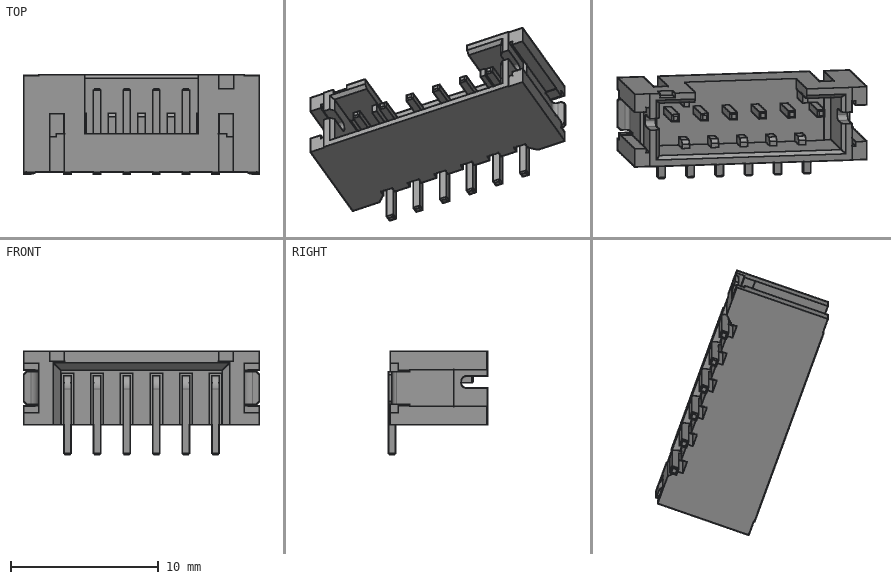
import cadquery as cq


LENGTH = 15.95
HEIGHT = 5.0
DEPTH = 6.6
CORE_HALF = 6.95
WING_SETBACK = 0.06
SKIN = 0.7
MOUTH_CHAMFER = 0.25

CAVITY_HALF = 6.25
CAVITY_FLOOR = 2.6
CORNER_HALF = 5.75
CORNER_STEP = 0.2

NOTCH_HALF = 3.83
SLOT_CENTRE = 5.7
SLOT_WIDTH = 0.98
SLOT_END = 3.95
MARK_DEPTH = 0.3
MARK_LENGTH = 0.97
MARK_INNER = 5.22
MARK_WIDTH = 1.02

SIDE_SLOT_BOTTOM = 2.51
SIDE_SLOT_TOP = 3.3
SIDE_SLOT_END = 4.81
SIDE_SLOT_RADIUS = 0.35

RIB_WIDTH = 0.5
RIB_HEIGHT = 0.55
RIB_END = 4.0
RIB_SPACING = 2.0
RIB_COUNT = 5
TOP_RIB_INNER = 3.9
TOP_RIB_END = 4.67
TOP_RIB_HEIGHT = 0.62

RECESS_HALF = 5.95
RECESS_TOP = 4.19
RECESS_DEPTH = 0.49

PIN_COUNT = 6
PIN_PITCH = 2.0
PIN_SIZE = 0.5
OVERALL_DEPTH = 6.72
PIN_REAR = DEPTH - OVERALL_DEPTH
PIN_TOP = 3.34
PIN_FRONT = 5.63
PIN_BOTTOM = -2.0
PIN_BEND = 0.9
PIN_CHAMFER = 0.1
GROOVE_WIDTH = 0.84
GROOVE_TOP = 3.5
GROOVE_FLOOR = 0.9

MID_HEIGHT = HEIGHT / 2
CHANNEL_HEIGHT = 2.5
NECK_HEIGHT = 2.4
NECK_LENGTH = 1.32
RELIEF_HEIGHT = 3.36
RELIEF_LENGTH = 0.55
PLATE_THICKNESS = 0.25
PLATE_HEIGHT = 2.2
PLATE_FRONT = 4.3
GUIDE_DEPTH = 0.3
PLATE_BEND = 0.55
TAB_CHAMFER = 0.2


def block(x0, x1, y0, y1, z0, z1):
    """Axis-aligned box between two corners."""
    return cq.Workplane("XY").box(x1 - x0, y1 - y0, z1 - z0, centered=False).translate((x0, y0, z0))


def wide_block(half_length, y0, y1, z0, z1):
    """Box centred on X = 0."""
    return block(-half_length, half_length, y0, y1, z0, z1)


def both_ends(shape):
    """The +X shape together with its mirror image at -X."""
    return shape.union(shape.mirror("YZ"))


def spaced(count, spacing):
    """Evenly spaced positions centred on zero."""
    return [(i - (count - 1) / 2) * spacing for i in range(count)]


def tapered_pocket(half_length, y, z0, z1, depth):
    """Cutter whose walls close in at 45 degrees from plane y to plane y + depth."""
    inset = abs(depth)

    def outline(shrink):
        return [
            (-half_length + shrink, z0 + shrink),
            (half_length - shrink, z0 + shrink),
            (half_length - shrink, z1 - shrink),
            (-half_length + shrink, z1 - shrink),
        ]

    return (
        cq.Workplane("XZ", origin=(0, y, 0))
        .polyline(outline(0)).close()
        .workplane(offset=-depth)
        .polyline(outline(inset)).close()
        .loft(ruled=True)
    )


def shell():
    half = LENGTH / 2
    body = wide_block(CORE_HALF, 0, DEPTH, 0, HEIGHT)
    return body.union(wide_block(half, 0, DEPTH - WING_SETBACK, 0, HEIGHT))


def cavity():
    bottom = SKIN
    top = HEIGHT - SKIN
    pocket = wide_block(CAVITY_HALF, CAVITY_FLOOR, DEPTH, bottom, top)
    corner = block(CORNER_HALF, CAVITY_HALF, CAVITY_FLOOR - CORNER_STEP, CAVITY_FLOOR, bottom, top)
    mouth = tapered_pocket(
        CAVITY_HALF + MOUTH_CHAMFER, DEPTH, bottom - MOUTH_CHAMFER, top + MOUTH_CHAMFER, -MOUTH_CHAMFER
    )
    return pocket.union(both_ends(corner)).union(mouth)


def bottom_ribs():
    ribs = cq.Workplane("XY")
    top = SKIN + RIB_HEIGHT
    for x in spaced(RIB_COUNT, RIB_SPACING):
        rib = block(x - RIB_WIDTH / 2, x + RIB_WIDTH / 2, CAVITY_FLOOR, RIB_END, SKIN, top)
        rib = rib.faces(">Y").edges(">Z").chamfer(MOUTH_CHAMFER)
        ribs = ribs.union(rib)
    return ribs


def top_ribs():
    outer_rib_x = spaced(RIB_COUNT, RIB_SPACING)[-1]
    ceiling = HEIGHT - SKIN
    rib = block(
        TOP_RIB_INNER, outer_rib_x + RIB_WIDTH / 2,
        CAVITY_FLOOR, TOP_RIB_END,
        ceiling - TOP_RIB_HEIGHT, ceiling,
    )
    return both_ends(rib)


def top_openings():
    floor = HEIGHT - SKIN
    notch = wide_block(NOTCH_HALF, CAVITY_FLOOR, DEPTH, MID_HEIGHT, HEIGHT)
    slot = block(SLOT_CENTRE - SLOT_WIDTH / 2, SLOT_CENTRE + SLOT_WIDTH / 2, 0, SLOT_END, floor, HEIGHT)
    mark = block(
        MARK_INNER, MARK_INNER + MARK_WIDTH, DEPTH - MARK_LENGTH, DEPTH, HEIGHT - MARK_DEPTH, HEIGHT
    )
    return notch.union(both_ends(slot)).union(mark)


def side_slots():
    slot = wide_block(LENGTH / 2, SIDE_SLOT_END, DEPTH, SIDE_SLOT_BOTTOM, SIDE_SLOT_TOP)
    return slot.faces("<Y").edges("|X").fillet(SIDE_SLOT_RADIUS)


def rear_recess():
    recess = tapered_pocket(RECESS_HALF, 0, -RECESS_TOP, RECESS_TOP, RECESS_DEPTH)
    for x in spaced(PIN_COUNT, PIN_PITCH):
        groove = block(x - GROOVE_WIDTH / 2, x + GROOVE_WIDTH / 2, 0, GROOVE_FLOOR, 0, GROOVE_TOP)
        recess = recess.union(groove)
    return recess


def side_channels():
    half = LENGTH / 2

    def stretch(y0, y1, height):
        return block(CORE_HALF, half, y0, y1, MID_HEIGHT - height / 2, MID_HEIGHT + height / 2)

    channel = stretch(NECK_LENGTH, DEPTH, CHANNEL_HEIGHT)
    channel = channel.union(stretch(0, NECK_LENGTH, NECK_HEIGHT))
    channel = channel.union(stretch(0, RELIEF_LENGTH, RELIEF_HEIGHT))
    return both_ends(channel)


def plate_guides():
    """Grooves along the channel floor, one plate thickness wide, from the plate to the mouth."""
    half_height = CHANNEL_HEIGHT / 2 + GUIDE_DEPTH
    guide = block(
        CORE_HALF, CORE_HALF + PLATE_THICKNESS, PLATE_FRONT, DEPTH,
        MID_HEIGHT - half_height, MID_HEIGHT + half_height,
    )
    return both_ends(guide)


def pin(x):
    inner_y = PIN_REAR + PIN_SIZE
    inner_z = PIN_TOP - PIN_SIZE
    bend_y = PIN_REAR + PIN_BEND
    bend_z = PIN_TOP - PIN_BEND
    inner_bend = PIN_BEND - PIN_SIZE
    body = (
        cq.Workplane("YZ", origin=(x - PIN_SIZE / 2, 0, 0))
        .moveTo(PIN_REAR, PIN_BOTTOM)
        .lineTo(PIN_REAR, bend_z)
        .radiusArc((bend_y, PIN_TOP), PIN_BEND)
        .lineTo(PIN_FRONT, PIN_TOP)
        .lineTo(PIN_FRONT, inner_z)
        .lineTo(bend_y, inner_z)
        .radiusArc((inner_y, bend_z), -inner_bend)
        .lineTo(inner_y, PIN_BOTTOM)
        .close()
        .extrude(PIN_SIZE)
    )
    return body.faces("<Z or >Y").edges().chamfer(PIN_CHAMFER)


def side_plates():
    half = LENGTH / 2
    bend_x = CORE_HALF + PLATE_BEND
    bend_y = PIN_REAR + PLATE_BEND
    outer_x = CORE_HALF + PLATE_THICKNESS
    front_y = PIN_REAR + PLATE_THICKNESS
    strip = (
        cq.Workplane("XY", origin=(0, 0, MID_HEIGHT - PLATE_HEIGHT / 2))
        .moveTo(CORE_HALF, PLATE_FRONT)
        .lineTo(CORE_HALF, bend_y)
        .radiusArc((bend_x, PIN_REAR), -PLATE_BEND)
        .lineTo(half, PIN_REAR)
        .lineTo(half, front_y)
        .lineTo(bend_x, front_y)
        .radiusArc((outer_x, bend_y), PLATE_BEND - PLATE_THICKNESS)
        .lineTo(outer_x, PLATE_FRONT)
        .close()
        .extrude(PLATE_HEIGHT)
    )
    strip = strip.faces(">X").edges("|Y").chamfer(TAB_CHAMFER)
    shoulder = block(
        CORE_HALF, outer_x, NECK_LENGTH, PLATE_FRONT,
        MID_HEIGHT - CHANNEL_HEIGHT / 2, MID_HEIGHT + CHANNEL_HEIGHT / 2,
    )
    return both_ends(strip.union(shoulder))


housing = shell().cut(cavity()).cut(top_openings()).cut(side_slots())
housing = housing.cut(side_channels()).cut(plate_guides()).cut(rear_recess())
housing = housing.union(bottom_ribs()).union(top_ribs()).union(side_plates())
result = housing
for pin_x in spaced(PIN_COUNT, PIN_PITCH):
    result = result.union(pin(pin_x))